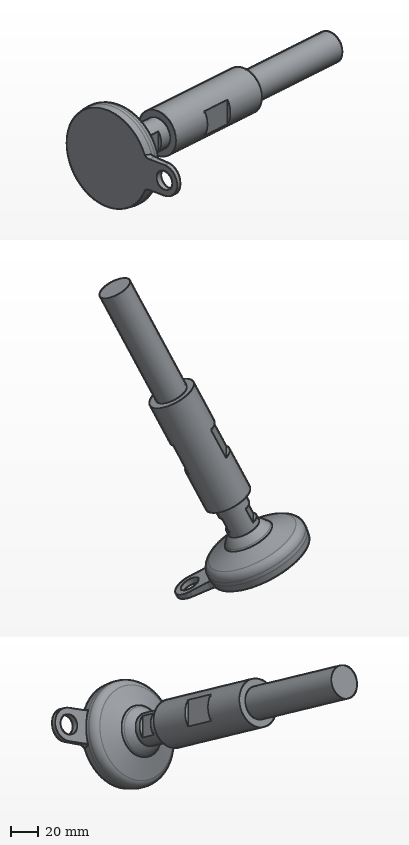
import cadquery as cq
import math

total_length = 246.5

total_width = 108.0
foot_radius = 80.0 / 2
base_radius = 39.2
taper_height = 6.0
rim_height = 8.9
shoulder_radius = 7.1
slope_angle = math.radians(20)
slope_top = 21.5
lip_height = 23.0
lip_radius = 18.2

tab_radius = 25.0 / 2
tab_reach = total_width - foot_radius
tab_hole_radius = 15.0 / 2
tab_fillet = 5.0
tab_root_height = 6.0
tab_end_height = 3.7

rod_radius = 25.0 / 2
neck_bottom = 29.0
neck_flat_bottom = 33.5
neck_flat_top = 45.8
neck_flat_width = 19.0

sleeve_bottom = 55.7
sleeve_length = 95.1
sleeve_radius = 36.2 / 2
sleeve_flat_length = 25.5
sleeve_flat_width = 30.3


def round_point(angle):
    """Point on the shoulder round; the angle is measured up from +X."""
    center_x = foot_radius - shoulder_radius
    return (
        center_x + shoulder_radius * math.cos(angle),
        rim_height + shoulder_radius * math.sin(angle),
    )


def make_body_of_revolution():
    """Disc, ball and rod, turned about the Y axis as one piece."""
    round_end_angle = math.pi / 2 - slope_angle
    round_end = round_point(round_end_angle)
    slope_top_radius = round_end[0] - (slope_top - round_end[1]) / math.tan(slope_angle)
    ball_middle = (lip_height + neck_bottom) / 2
    ball_height = neck_bottom - lip_height
    ball_center = ball_middle - (lip_radius ** 2 - rod_radius ** 2) / (2 * ball_height)
    ball_radius = math.hypot(rod_radius, neck_bottom - ball_center)
    ball_middle_radius = math.sqrt(ball_radius ** 2 - (ball_middle - ball_center) ** 2)
    return (
        cq.Workplane("XY")
        .lineTo(base_radius, 0)
        .lineTo(foot_radius, taper_height)
        .lineTo(foot_radius, rim_height)
        .threePointArc(round_point(round_end_angle / 2), round_end)
        .lineTo(slope_top_radius, slope_top)
        .lineTo(lip_radius, lip_height)
        .threePointArc((ball_middle_radius, ball_middle), (rod_radius, neck_bottom))
        .lineTo(rod_radius, total_length)
        .lineTo(0, total_length)
        .close()
        .revolve(360, (0, 0, 0), (0, 1, 0))
    )


def make_tab():
    hole_x = tab_reach - tab_radius
    fillet_z = tab_radius + tab_fillet
    fillet_x = math.sqrt((base_radius + tab_fillet) ** 2 - fillet_z ** 2)
    fillet_angle = math.atan2(fillet_z, fillet_x)
    root_x = base_radius * math.cos(fillet_angle)
    root_z = base_radius * math.sin(fillet_angle)
    middle_angle = (fillet_angle + math.pi / 2) / 2
    middle_x = fillet_x - tab_fillet * math.cos(middle_angle)
    middle_z = fillet_z - tab_fillet * math.sin(middle_angle)
    outline = (
        cq.Workplane("XZ")
        .lineTo(root_x, root_z)
        .threePointArc((middle_x, middle_z), (fillet_x, tab_radius))
        .lineTo(hole_x, tab_radius)
        .threePointArc((tab_reach, 0), (hole_x, -tab_radius))
        .lineTo(fillet_x, -tab_radius)
        .threePointArc((middle_x, -middle_z), (root_x, -root_z))
        .close()
        .extrude(-lip_height)
    )
    side = (
        cq.Workplane("XY")
        .lineTo(tab_reach, 0)
        .lineTo(tab_reach, tab_end_height)
        .lineTo(foot_radius, tab_root_height)
        .lineTo(0, tab_root_height)
        .close()
        .extrude(foot_radius, both=True)
    )
    hole = cq.Workplane("XZ").center(hole_x, 0).circle(tab_hole_radius).extrude(-lip_height)
    return outline.intersect(side).cut(hole)


def cut_flats(body, bottom, top, width):
    """Cut two opposite wrench flats, facing -X and +X."""
    depth = sleeve_radius
    for side in (-1, 1):
        cutter = cq.Workplane("XY").box(depth, top - bottom, 2 * sleeve_radius)
        body = body.cut(cutter.translate((side * (width + depth) / 2, (bottom + top) / 2, 0)))
    return body


def make_foot():
    foot = make_body_of_revolution().union(make_tab())
    return cut_flats(foot, neck_flat_bottom, neck_flat_top, neck_flat_width)


def make_sleeve():
    """Tube around the rod, with wrench flats at the middle of its length."""
    sleeve = (
        cq.Workplane("XZ", origin=(0, sleeve_bottom, 0))
        .circle(sleeve_radius)
        .circle(rod_radius)
        .extrude(-sleeve_length)
    )
    flat_bottom = sleeve_bottom + (sleeve_length - sleeve_flat_length) / 2
    return cut_flats(sleeve, flat_bottom, flat_bottom + sleeve_flat_length, sleeve_flat_width)


foot = make_foot()
sleeve = make_sleeve()

result = cq.Compound.makeCompound([foot.solids().val(), sleeve.solids().val()])